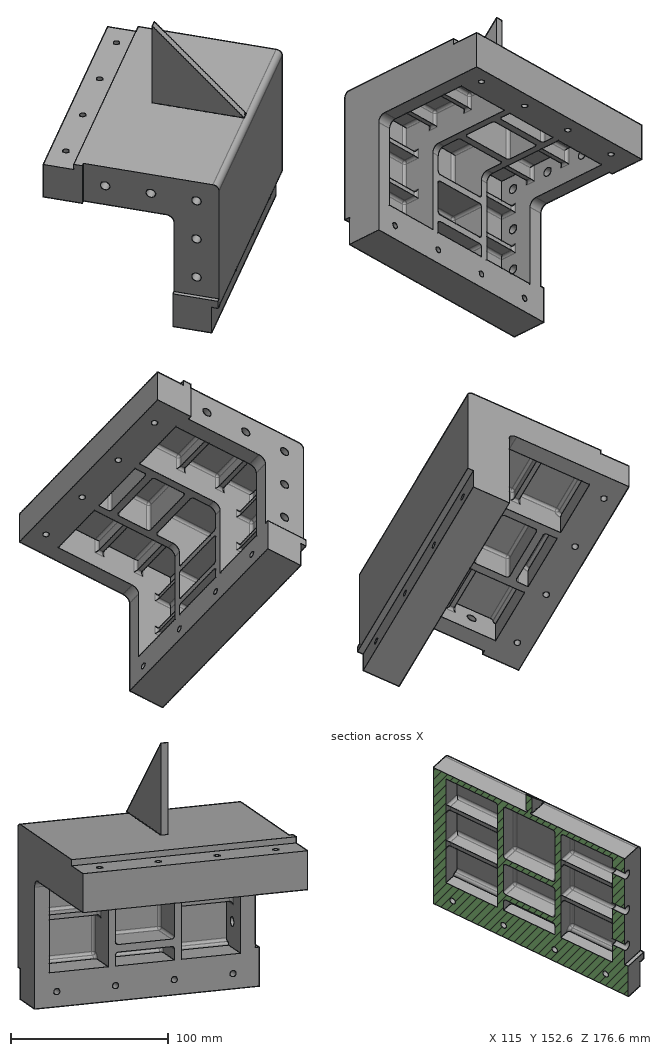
import cadquery as cq
import math

arm_length = 115.0
arm_thickness = 29.7
body_depth = 150.0
inner_radius = 5.1
outer_radius = 4.0

foot_length = 25.8
foot_overhang = 2.6
step_length = 20.1
step_depth = 4.0
foot_hole_diameter = 4.0
foot_hole_offset = step_length / 2
foot_hole_pitch = 39.9
foot_hole_count = 4

bolt_diameter = 6.2
bolt_pitch = 30.0
bolts_per_arm = 3
bolt_offset = arm_thickness / 2

skin = 5.0
side_wall = 10.0
column_wall = 5.0
column_count = 3
pocket_start = 23.0
pocket_radius = 2.0
center_rib_height = arm_thickness
mouth_margin = 1.8
side_rib_thickness = 3.2
side_rib_height = 10.0
center_rib_thickness = 5.0
center_rib_places = (34.5, 64.5)

total_height = 176.6
tooth_height = 1.0
tooth_width = 2.8
tooth_root = 2.6
tooth_tip = 0.4
tooth_pitch = 6.0
tooth_count = 10
first_tooth_offset = 5.0
plate_thickness = 5.0
plate_left = 50.9

inner_face = arm_length - arm_thickness
floor = arm_length - skin
corner_bolt = arm_length - bolt_offset
side_rib_places = (corner_bolt - 1.5 * bolt_pitch, corner_bolt - 0.5 * bolt_pitch)
column_width = (body_depth - 2 * side_wall - (column_count - 1) * column_wall) / column_count
tolerance = 0.02
overlap = 0.2


def box(x_range, y_range, z_range):
    """Axis-aligned box from three (low, high) ranges."""
    lows, highs = zip(x_range, y_range, z_range)
    sizes = [high - low for low, high in zip(lows, highs)]
    return cq.Workplane("XY").box(*sizes, centered=False).translate(lows)


def prism(outline, y_start, y_end):
    """Extrude an outline drawn in X and Z from y_start to y_end."""
    return outline.close().extrude(y_start - y_end).translate((0, y_start, 0))


def swap_arms(shape):
    """Mirror a shape from one arm to the other, about the plane X = Z."""
    return shape.rotate((0, 0, 0), (0, 1, 0), 90).mirror("XY")


def build_body():
    corners = [
        (0, inner_face),
        (inner_face, inner_face),
        (inner_face, 0),
        (arm_length - step_depth, 0),
        (arm_length - step_depth, step_length),
        (arm_length, step_length),
        (arm_length, arm_length),
        (step_length, arm_length),
        (step_length, arm_length - step_depth),
        (0, arm_length - step_depth),
    ]
    solid = prism(cq.Workplane("XZ").polyline(corners), -foot_overhang, body_depth)
    trim = box((foot_length, arm_length), (-foot_overhang, 0), (foot_length, arm_length))
    solid = solid.cut(trim)
    for corner, radius in ((inner_face, inner_radius), (arm_length, outer_radius)):
        middle = (corner, body_depth / 2, corner)
        solid = solid.edges(cq.selectors.NearestToPointSelector(middle)).fillet(radius)
    return solid


def l_cavity(y_start, y_end):
    """Pocket space running round the corner, with a rounded ridge at each end of its floor."""
    r = pocket_radius
    bulge = r * math.sin(math.pi / 4)
    mouth = inner_face - mouth_margin
    ridge = floor - r
    ridge_end = pocket_start + 2 * r
    outline = (
        cq.Workplane("XZ")
        .moveTo(mouth, mouth)
        .lineTo(mouth, pocket_start)
        .lineTo(ridge - r, pocket_start)
        .threePointArc((ridge - bulge, pocket_start + bulge), (ridge, pocket_start + r))
        .threePointArc((ridge + bulge, ridge_end - bulge), (floor, ridge_end))
        .lineTo(floor, floor)
        .lineTo(ridge_end, floor)
        .threePointArc((ridge_end - bulge, ridge + bulge), (pocket_start + r, ridge))
        .threePointArc((pocket_start + bulge, ridge - bulge), (pocket_start, ridge - r))
        .lineTo(pocket_start, mouth)
    )
    return prism(outline, y_start, y_end)


def cut_ribs(cavity, places, thickness, height, y_range):
    """Leave ribs standing on the floors of both arms."""
    for place in places:
        across = (place - thickness / 2, place + thickness / 2)
        along = (floor - height, floor)
        cavity = cavity.cut(box(along, y_range, across))
        cavity = cavity.cut(box(across, y_range, along))
    return cavity


def pick_edges(edges, test):
    """Edges whose place along X and Z, as an ordered (low, high) pair, passes the test."""
    return [edge for edge in edges.vals() if test(*sorted((edge.Center().x, edge.Center().z)))]


def fillet_pocket(cavity, edges):
    return cavity.newObject(edges).fillet(pocket_radius)


def on_floor_not_corner(low, high):
    ridge_end = pocket_start + 2 * pocket_radius
    return high > floor - tolerance and ridge_end + tolerance < low < floor - tolerance


def below_mouth(low, high):
    return high > inner_face and low > pocket_start + tolerance


def on_side_rib(low, high):
    reach = side_rib_thickness / 2 + tolerance
    at_rib = any(abs(low - place) < reach for place in side_rib_places)
    return at_rib and high > floor - side_rib_height - tolerance


def side_cavity(y_start, y_end, inner_side, outer_side):
    """Outer column: low ribs, and a floor fillet only along the wall next to the center column."""
    y_range = (y_start, y_end)
    cavity = cut_ribs(l_cavity(*y_range), side_rib_places, side_rib_thickness, side_rib_height, y_range)
    edges = pick_edges(cavity.edges("|Y"), on_floor_not_corner)
    edges += pick_edges(cavity.faces(outer_side).edges(), on_side_rib)
    edges += pick_edges(cavity.faces(inner_side).edges(), below_mouth)
    return fillet_pocket(cavity, edges)


def center_cavity(y_start, y_end):
    """Center column: full-height ribs part it into separate pockets with fillets all round."""
    y_range = (y_start, y_end)
    cavity = cut_ribs(
        l_cavity(*y_range), center_rib_places, center_rib_thickness, center_rib_height, y_range
    )
    cavity = fillet_pocket(cavity, pick_edges(cavity.edges("|Y"), on_floor_not_corner))
    for side in ("<Y", ">Y"):
        cavity = fillet_pocket(cavity, pick_edges(cavity.faces(side).edges(), below_mouth))
    return cavity


def column_range(index):
    start = side_wall + index * (column_width + column_wall)
    return start, start + column_width


def foot_holes():
    """Holes along X through the foot of the upright arm."""
    middle = (foot_hole_count - 1) / 2
    points = [
        (body_depth / 2 + (index - middle) * foot_hole_pitch, foot_hole_offset)
        for index in range(foot_hole_count)
    ]
    return cq.Workplane("YZ").pushPoints(points).circle(foot_hole_diameter / 2).extrude(arm_length)


def bolt_holes():
    """Holes along Y from the front face into the side pocket, in a row down each arm."""
    places = [corner_bolt - index * bolt_pitch for index in range(bolts_per_arm)]
    points = [(place, corner_bolt) for place in places]
    points += [(corner_bolt, place) for place in places[1:]]
    return (
        cq.Workplane("XZ").pushPoints(points).circle(bolt_diameter / 2).extrude(-side_wall - overlap)
    )


def build_plate():
    """Right triangle on tapered teeth, centered along the body."""
    base = arm_length + tooth_height
    leg = total_height - base
    middle = body_depth / 2
    triangle = [(plate_left, base), (plate_left + leg, base), (plate_left, total_height)]
    plate = prism(
        cq.Workplane("XZ").polyline(triangle), middle - plate_thickness / 2, middle + plate_thickness / 2
    )
    for index in range(tooth_count):
        x = plate_left + first_tooth_offset + index * tooth_pitch
        tooth = [
            (x - tooth_tip / 2, arm_length - overlap),
            (x + tooth_tip / 2, arm_length - overlap),
            (x + tooth_tip / 2, arm_length),
            (x + tooth_root / 2, base),
            (x - tooth_root / 2, base),
            (x - tooth_tip / 2, arm_length),
        ]
        plate = plate.union(
            prism(cq.Workplane("XZ").polyline(tooth), middle - tooth_width / 2, middle + tooth_width / 2)
        )
    return plate


body = build_body()
body = body.cut(side_cavity(*column_range(0), inner_side=">Y", outer_side="<Y"))
body = body.cut(center_cavity(*column_range(1)))
body = body.cut(side_cavity(*column_range(2), inner_side="<Y", outer_side=">Y"))
body = body.cut(foot_holes()).cut(swap_arms(foot_holes()))
body = body.cut(bolt_holes())
result = body.union(build_plate())